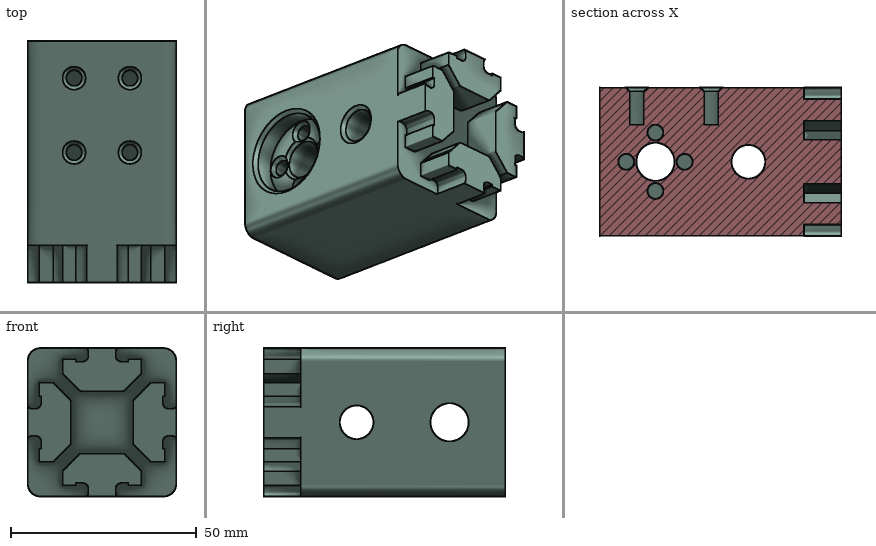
import cadquery as cq

WIDTH = 40.0
HALF_WIDTH = WIDTH / 2
BODY_LENGTH = 55.0
KEY_LENGTH = 10.0
CORNER_RADIUS = 3.5

MOUTH_HALF_WIDTH = 4.15
NECK_HALF_WIDTH = 3.65
LIP_GROOVE_HALF_WIDTH = 7.05
KEY_HALF_WIDTH = 10.6
KEY_BASE_HALF_WIDTH = 5.9
KEY_BASE_HEIGHT = 8.4
KEY_FLANK_HEIGHT = KEY_BASE_HEIGHT + KEY_HALF_WIDTH - KEY_BASE_HALF_WIDTH
LIP_GROOVE_HEIGHT = 16.3
SHOULDER_HEIGHT = 16.9
NECK_RADIUS = 1.65
NECK_TOP_HEIGHT = 18.7
KEY_BASE_RADIUS = 0.8
TIP_RADIUS = 0.2
KEY_COUNT = 4

FLANK_GROOVE_HALF_WIDTH = 9.3
FLANK_GROOVE_DEPTH = 0.15
FLANK_GROOVE_SPAN = 0.6

TAP_DIAMETER = 4.2
TAP_MOUTH_DIAMETER = 6.2
TAP_DEPTH = 10.0
TOP_TAP_SPACING_X = 15.0
TOP_TAP_DISTANCES = (10.0, 30.0)

HUB_DISTANCE = 15.0
POCKET_DIAMETER = 22.2
POCKET_MOUTH_DIAMETER = 24.2
POCKET_DEPTH = 6.0
BORE_DIAMETER = 10.2
BORE_MOUTH_DIAMETER = 12.0
HUB_TAP_CIRCLE_RADIUS = 7.85

CROSS_HOLE_DISTANCE = 40.0
CROSS_HOLE_DIAMETER = 9.0
CROSS_HOLE_MOUTH_DIAMETER = 11.0

BACK_Y = (BODY_LENGTH + KEY_LENGTH) / 2
SHOULDER_Y = BACK_Y - BODY_LENGTH

TOP_FACE_DOWN = cq.Vector(0, 0, -1)
LEFT_FACE_INWARD = cq.Vector(1, 0, 0)


def make_body():
    """Rounded square block, extruded from the key shoulder to the back face."""
    return (
        cq.Workplane("XZ", origin=(0, BACK_Y, 0))
        .rect(WIDTH, WIDTH)
        .extrude(BODY_LENGTH)
        .edges("|Y")
        .fillet(CORNER_RADIUS)
    )


def make_top_key():
    """T-slot key on the +Z side, with a flared mouth, grooved lips and a chamfered base."""
    right_half = (
        cq.Workplane("XZ", origin=(0, SHOULDER_Y, 0))
        .moveTo(0, KEY_BASE_HEIGHT)
        .lineTo(KEY_BASE_HALF_WIDTH, KEY_BASE_HEIGHT)
        .lineTo(KEY_HALF_WIDTH, KEY_FLANK_HEIGHT)
        .lineTo(KEY_HALF_WIDTH, SHOULDER_HEIGHT - TIP_RADIUS)
        .tangentArcPoint((KEY_HALF_WIDTH - TIP_RADIUS, SHOULDER_HEIGHT), relative=False)
        .lineTo(LIP_GROOVE_HALF_WIDTH, SHOULDER_HEIGHT)
        .lineTo(LIP_GROOVE_HALF_WIDTH, LIP_GROOVE_HEIGHT)
        .lineTo(NECK_HALF_WIDTH + NECK_RADIUS, LIP_GROOVE_HEIGHT)
        .tangentArcPoint((NECK_HALF_WIDTH, LIP_GROOVE_HEIGHT + NECK_RADIUS), relative=False)
        .lineTo(NECK_HALF_WIDTH, NECK_TOP_HEIGHT)
        .tangentArcPoint((MOUTH_HALF_WIDTH, HALF_WIDTH), relative=False)
        .lineTo(0, HALF_WIDTH)
        .close()
        .extrude(KEY_LENGTH)
    )
    key = right_half.union(right_half.mirror("YZ")).clean()
    base_corners = key.faces("<Z").edges("|Y")
    return base_corners.fillet(KEY_BASE_RADIUS)


def make_keys():
    """The same key repeated on all four sides of the block axis."""
    top_key = make_top_key()
    angles = [index * 360 / KEY_COUNT for index in range(KEY_COUNT)]
    return [top_key.rotate((0, 0, 0), (0, 1, 0), angle) for angle in angles]


def cut_flank_groove(part):
    """Shallow V groove: a short upright step, then a slope back to the 45 degree flank."""
    start_x = -FLANK_GROOVE_HALF_WIDTH
    start_z = -(KEY_BASE_HEIGHT + FLANK_GROOVE_HALF_WIDTH - KEY_BASE_HALF_WIDTH)
    groove = (
        cq.Workplane("XZ", origin=(0, SHOULDER_Y, 0))
        .moveTo(start_x, start_z)
        .lineTo(start_x, start_z - FLANK_GROOVE_DEPTH)
        .lineTo(start_x - FLANK_GROOVE_SPAN, start_z - FLANK_GROOVE_SPAN)
        .close()
        .extrude(KEY_LENGTH)
    )
    return part.cut(groove)


def countersunk_hole(point, direction, diameter, mouth_diameter, depth):
    """Cutter for a round hole with a 45 degree chamfer at its mouth."""
    radius = diameter / 2
    mouth_radius = mouth_diameter / 2
    chamfer = mouth_radius - radius
    shaft = cq.Solid.makeCylinder(radius, depth, point, direction)
    mouth = cq.Solid.makeCone(mouth_radius, radius, chamfer, point, direction)
    return shaft.fuse(mouth)


def cut_top_taps(part):
    for distance in TOP_TAP_DISTANCES:
        for side in (-1, 1):
            point = cq.Vector(side * TOP_TAP_SPACING_X / 2, BACK_Y - distance, HALF_WIDTH)
            part = part.cut(
                countersunk_hole(point, TOP_FACE_DOWN, TAP_DIAMETER, TAP_MOUTH_DIAMETER, TAP_DEPTH)
            )
    return part


def cut_hub(part):
    """Round pocket in the -X side, with a through bore and four tapped holes in its floor."""
    hub_y = BACK_Y - HUB_DISTANCE
    floor_x = POCKET_DEPTH - HALF_WIDTH
    mouth_centre = cq.Vector(-HALF_WIDTH, hub_y, 0)
    floor_centre = cq.Vector(floor_x, hub_y, 0)
    part = part.cut(
        countersunk_hole(
            mouth_centre, LEFT_FACE_INWARD, POCKET_DIAMETER, POCKET_MOUTH_DIAMETER, POCKET_DEPTH
        )
    )
    part = part.cut(
        countersunk_hole(
            floor_centre, LEFT_FACE_INWARD, BORE_DIAMETER, BORE_MOUTH_DIAMETER, WIDTH - POCKET_DEPTH
        )
    )
    for dy, dz in ((1, 0), (0, 1), (-1, 0), (0, -1)):
        point = floor_centre + cq.Vector(0, dy, dz) * HUB_TAP_CIRCLE_RADIUS
        part = part.cut(
            countersunk_hole(point, LEFT_FACE_INWARD, TAP_DIAMETER, TAP_MOUTH_DIAMETER, TAP_DEPTH)
        )
    return part


def cut_cross_hole(part):
    point = cq.Vector(-HALF_WIDTH, BACK_Y - CROSS_HOLE_DISTANCE, 0)
    return part.cut(
        countersunk_hole(
            point, LEFT_FACE_INWARD, CROSS_HOLE_DIAMETER, CROSS_HOLE_MOUTH_DIAMETER, WIDTH
        )
    )


part = make_body()
for key in make_keys():
    part = part.union(key)
part = cut_flank_groove(part)
part = cut_top_taps(part)
part = cut_hub(part)
result = cut_cross_hole(part)